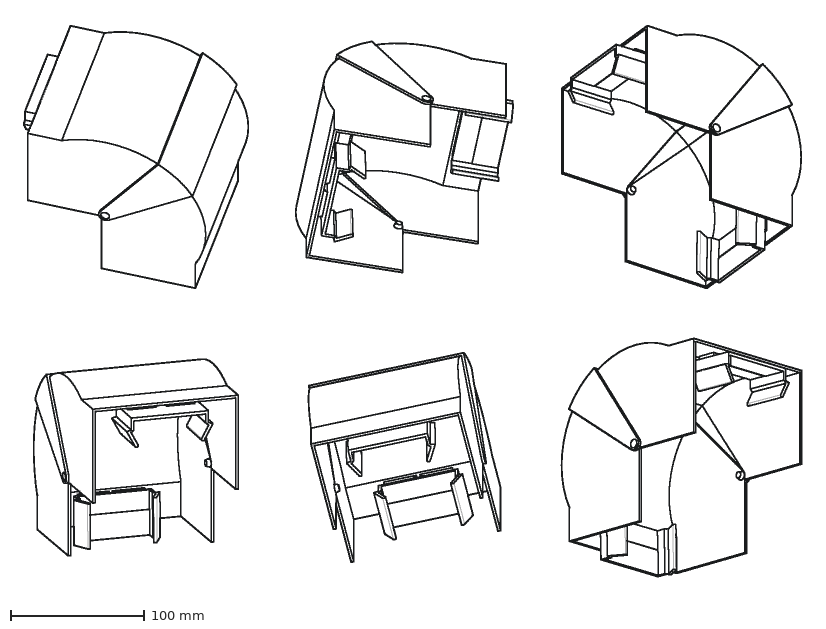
import cadquery as cq
import math

wall = 2.1
arch_radius = 77.9
flat_roof = 69.9
corner_offset = 3.6
channel_end = 61.1
overall_width = 119.3
overall_length = 149.0
middle_angle = 45.0
swap_ends = cq.Vector(1, 0, -1)

eye_radius = corner_offset
outer_half_end = 54.5
inner_half_end = 44.0

lip_wall = 2.1
lip_half_angle = 10.0
boss_radius = 5.0

pin_radius = 3.3
pin_tip_radius = 2.4
pin_tip_length = 3.1

clip_length = 35.2
clip_lean = 1.0
clip_top = 63.2
clip_half_width = 30.5
clip_web = 2.5
clip_leg = 2.1
leg_bottom = 53.8
shoulder_half_width = 34.1
shoulder_height = 52.9
finger_angle = 28.5
finger_width = 2.5
finger_bottom = 40.0
web_relief = 0.3
relief_start = 20.0

pad_half_width = 26.4
notch_half_bottom = 4.3
notch_half_top = 1.3

elbow_width = overall_width - 2 * lip_wall
inner_width = elbow_width - 2 * wall
inner_radius = arch_radius - wall
ceiling = flat_roof - wall
clip_start = arch_radius - overall_length
clip_slope = math.tan(math.radians(clip_lean))


def polar(radius, angle):
    """Point at an angle from +X towards +Z, in the XZ plane."""
    return (radius * math.cos(math.radians(angle)), radius * math.sin(math.radians(angle)))


def prism(outline, width):
    """Extrude an outline drawn in XZ, centred on Y."""
    return outline.extrude(width / 2, both=True)


def elbow_prism(roof, radius, end, corner, width):
    """L-shaped prism with straight roofs, an arched bend and a square inner corner."""
    arch_start = math.sqrt(radius**2 - roof**2)
    outline = (
        cq.Workplane("XZ")
        .moveTo(-end, corner)
        .lineTo(-end, roof)
        .lineTo(-arch_start, roof)
        .threePointArc(polar(radius, middle_angle), (roof, -arch_start))
        .lineTo(roof, -end)
        .lineTo(corner, -end)
        .lineTo(corner, corner)
        .close()
    )
    return prism(outline, width)


def pin_hole_cutter():
    return cq.Workplane("XZ").circle(pin_radius).extrude(overall_width / 2, both=True)


def web_top_at(x):
    """Height of the leaning top of the clip web."""
    return clip_top + (x - clip_start) * clip_slope


def make_pad():
    """Pad between the ceiling and the leaning web of the clip, split by a V-shaped notch."""
    start = clip_start + relief_start
    end = clip_start + clip_length
    side = (
        cq.Workplane("XZ")
        .moveTo(start, web_top_at(start))
        .lineTo(start, ceiling)
        .lineTo(end, ceiling)
        .lineTo(end, web_top_at(end))
        .close()
    )
    notch = (
        cq.Workplane("YZ", origin=(start, 0, 0))
        .moveTo(-notch_half_bottom, web_top_at(start))
        .lineTo(-notch_half_top, ceiling)
        .lineTo(notch_half_top, ceiling)
        .lineTo(notch_half_bottom, web_top_at(start))
        .close()
        .extrude(end - start)
    )
    return prism(side, 2 * pad_half_width).cut(notch)


def hinge_region(end_angle):
    """Side of the elbow beyond a line tangent to the hinge eye, with the eye itself."""
    reach = 3 * arch_radius
    tangent = polar(eye_radius, end_angle + 90)
    along = polar(reach, end_angle)
    outline = (
        cq.Workplane("XZ")
        .moveTo(*tangent)
        .lineTo(tangent[0] + along[0], tangent[1] + along[1])
        .lineTo(reach, -reach)
        .lineTo(-eye_radius, -reach)
        .lineTo(-eye_radius, 0)
        .threePointArc(polar(eye_radius, (end_angle + 270) / 2), tangent)
        .close()
    )
    return prism(outline, elbow_width)


def make_shell():
    """Whole elbow shell, open at both ends and on the side of its inner corner."""
    outside = elbow_prism(flat_roof, arch_radius, channel_end, -corner_offset, elbow_width)
    inside = elbow_prism(ceiling, inner_radius, 2 * channel_end, -channel_end, inner_width)
    return outside.cut(inside)


def make_outer_half():
    """Half that opens towards -X, with the lip and its own roof pad."""
    body = make_shell().cut(hinge_region(outer_half_end))
    return body.union(make_lip()).union(make_pad())


def make_inner_half():
    """Half that opens towards -Z and turns on the pins inside the lip."""
    body = make_shell().intersect(hinge_region(inner_half_end))
    return body.cut(pin_hole_cutter()).union(make_pad().mirror(swap_ends))


def make_lip():
    """Saddle with a wedge outline, tangent to the pivot boss and closed by an arc over the roof."""
    radius = arch_radius + lip_wall
    low = middle_angle - lip_half_angle
    high = middle_angle + lip_half_angle
    corner_shift = math.degrees(math.asin(boss_radius / radius))
    outline = (
        cq.Workplane("XZ")
        .moveTo(*polar(boss_radius, low - 90))
        .lineTo(*polar(radius, low - corner_shift))
        .threePointArc(polar(radius, middle_angle), polar(radius, high + corner_shift))
        .lineTo(*polar(boss_radius, high + 90))
        .threePointArc(polar(boss_radius, middle_angle + 180), polar(boss_radius, low - 90))
        .close()
    )
    recess = cq.Workplane("XZ").circle(arch_radius).extrude(elbow_width / 2, both=True)
    return prism(outline, overall_width).cut(recess).cut(pin_hole_cutter())


def make_pin(side):
    """Pin flush with the outside of the lip, ending in a tapered tip inside the elbow."""
    shank_end = inner_width / 2
    return (
        cq.Workplane("XY")
        .moveTo(0, side * overall_width / 2)
        .lineTo(pin_radius, side * overall_width / 2)
        .lineTo(pin_radius, side * shank_end)
        .lineTo(pin_tip_radius, side * (shank_end - pin_tip_length))
        .lineTo(0, side * (shank_end - pin_tip_length))
        .close()
        .revolve(360, (0, 0, 0), (0, 1, 0))
    )


def clip_outline():
    """Closed outline of the clip section, in YZ at the outer end."""
    lean = math.radians(finger_angle)
    along = (-math.sin(lean), -math.cos(lean))
    across = (-math.cos(lean), math.sin(lean))
    tip_radius = finger_width / 2
    tip_centre_height = finger_bottom + tip_radius
    finger_length = (shoulder_height - tip_centre_height + across[1] * tip_radius) / -along[1]

    shoulder = (shoulder_half_width, shoulder_height)
    tip_outer = (shoulder[0] + along[0] * finger_length, shoulder[1] + along[1] * finger_length)
    tip_inner = (tip_outer[0] + across[0] * finger_width, tip_outer[1] + across[1] * finger_width)
    tip_end = (
        (tip_outer[0] + tip_inner[0]) / 2 + along[0] * tip_radius,
        (tip_outer[1] + tip_inner[1]) / 2 + along[1] * tip_radius,
    )
    leg_inner = clip_half_width - clip_leg
    knee_height = leg_bottom - clip_leg
    knee_run = (knee_height - tip_inner[1]) / -along[1]
    knee = (tip_inner[0] - along[0] * knee_run, knee_height)

    def mirrored(point):
        return (-point[0], point[1])

    return (
        cq.Workplane("YZ", origin=(clip_start, 0, 0))
        .moveTo(-clip_half_width, clip_top)
        .lineTo(clip_half_width, clip_top)
        .lineTo(clip_half_width, leg_bottom)
        .lineTo(*shoulder)
        .lineTo(*tip_outer)
        .threePointArc(tip_end, tip_inner)
        .lineTo(*knee)
        .lineTo(leg_inner, leg_bottom)
        .lineTo(leg_inner, clip_top - clip_web)
        .lineTo(-leg_inner, clip_top - clip_web)
        .lineTo(-leg_inner, leg_bottom)
        .lineTo(*mirrored(knee))
        .lineTo(*mirrored(tip_inner))
        .threePointArc(mirrored(tip_end), mirrored(tip_outer))
        .lineTo(*mirrored(shoulder))
        .lineTo(-clip_half_width, leg_bottom)
        .close()
    )


def make_clip():
    """Clip for the -X end: its section extruded inward along a slight rise, with the web relieved."""
    def lean_run(length):
        return cq.Vector(length, 0, length * clip_slope)

    def leaning_prism(outline, length):
        face = cq.Face.makeFromWires(outline.wires().val())
        return cq.Workplane(cq.Solid.extrudeLinear(face, lean_run(length)))

    clip = leaning_prism(clip_outline(), clip_length)
    relief_outline = (
        cq.Workplane("YZ", origin=(clip_start, 0, 0))
        .center(0, clip_top - clip_web + web_relief / 2)
        .rect(2 * (clip_half_width - clip_leg), web_relief)
    )
    relief = leaning_prism(relief_outline, clip_length - relief_start)
    return clip.cut(relief.translate(lean_run(relief_start)))


outer_half = make_outer_half()
inner_half = make_inner_half()
pins = [make_pin(side) for side in (-1, 1)]
first_clip = make_clip()
clips = [first_clip, first_clip.mirror(swap_ends)]

result = cq.Compound.makeCompound([
    outer_half.val(),
    inner_half.val(),
    *[pin.val() for pin in pins],
    *[clip.val() for clip in clips],
])